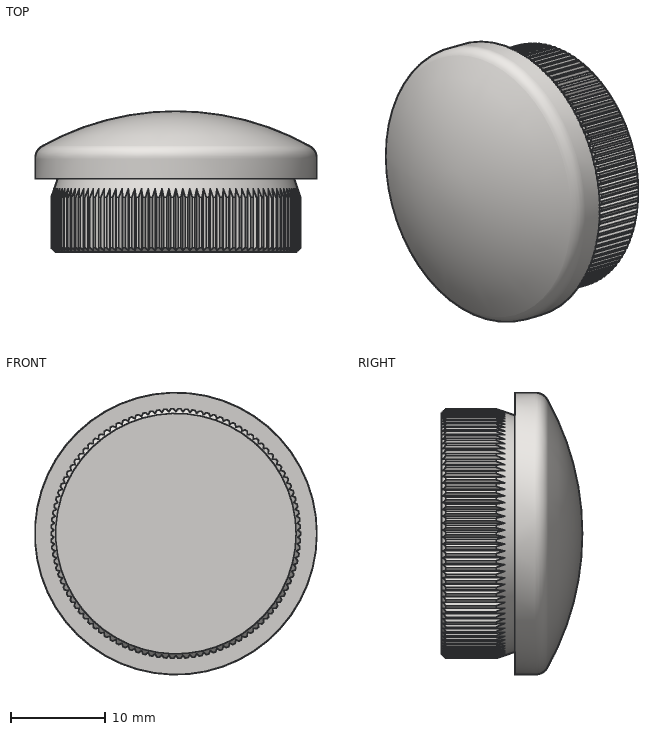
import cadquery as cq
import math


head_radius = 15.0
head_height = 7.2
dome_radius = 29.1
rim_fillet = 1.5

total_length = 15.0
plug_length = total_length - head_height
knurl_radius = 13.25
neck_radius = 12.6
neck_length = 1.98
end_chamfer = 0.48

groove_count = 110
groove_depth = 0.3
groove_width = 0.48
groove_overshoot = 0.1
groove_start = neck_length / 4


def make_blank():
    """Revolve the head and the smooth plug about the Y axis."""
    rim_center_r = head_radius - rim_fillet
    dome_center_y = head_height - dome_radius
    center_distance = dome_radius - rim_fillet
    rim_center_y = dome_center_y + math.sqrt(center_distance**2 - rim_center_r**2)
    dome_angle = math.asin(rim_center_r / center_distance)

    def dome_point(angle):
        """Point on the dome at an angle from the axis."""
        return (dome_radius * math.sin(angle), dome_center_y + dome_radius * math.cos(angle))

    rim_mid_angle = (dome_angle + math.pi / 2) / 2
    rim_mid = (
        rim_center_r + rim_fillet * math.sin(rim_mid_angle),
        rim_center_y + rim_fillet * math.cos(rim_mid_angle),
    )

    return (
        cq.Workplane("XY")
        .moveTo(0, -plug_length)
        .lineTo(knurl_radius - end_chamfer, -plug_length)
        .lineTo(knurl_radius, -plug_length + end_chamfer)
        .lineTo(knurl_radius, -neck_length)
        .lineTo(neck_radius, 0)
        .lineTo(head_radius, 0)
        .lineTo(head_radius, rim_center_y)
        .threePointArc(rim_mid, dome_point(dome_angle))
        .threePointArc(dome_point(dome_angle / 2), (0, head_height))
        .close()
        .revolve(360, (0, 0, 0), (0, 1, 0))
    )


def make_grooves():
    """V-shaped cutters along the plug, the first one centred on +Z."""
    root_radius = knurl_radius - groove_depth
    mouth_radius = knurl_radius + groove_overshoot
    mouth_half_width = groove_width / 2 * (groove_depth + groove_overshoot) / groove_depth
    cutter = (
        cq.Workplane("XZ", origin=(0, -groove_start, 0))
        .moveTo(0, root_radius)
        .lineTo(mouth_half_width, mouth_radius)
        .lineTo(-mouth_half_width, mouth_radius)
        .close()
        .extrude(plug_length - groove_start)
        .val()
    )
    pitch_angle = 360 / groove_count
    return [cutter.rotate((0, 0, 0), (0, 1, 0), i * pitch_angle) for i in range(groove_count)]


result = cq.Workplane("XY").newObject([make_blank().val().cut(*make_grooves()).Solids()[0]])